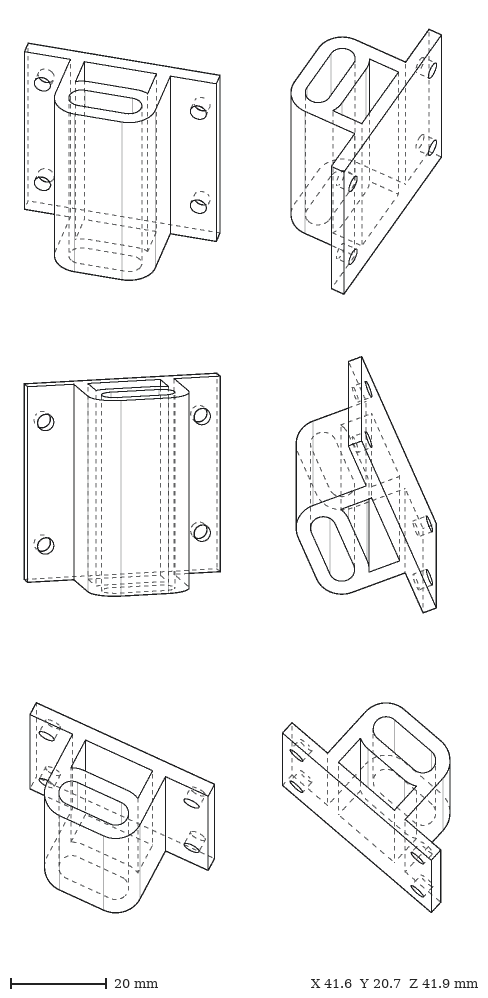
import cadquery as cq

plate_width = 41.6
height = 41.9
wall = 3.0
depth = 20.7

slot_radius = 2.7
arc_spacing = 10.25
tube_radius = slot_radius + wall
tube_width = arc_spacing + 2 * tube_radius
slot_width = arc_spacing + 2 * slot_radius
tube_y = tube_radius - depth

hole_diameter = 3.5
hole_x = 16.9
left_hole_top_z = 13.1
left_hole_bottom_z = -13.37
right_hole_z = 12.5
hole_centres = [
    (-hole_x, left_hole_top_z),
    (-hole_x, left_hole_bottom_z),
    (hole_x, right_hole_z),
    (hole_x, -right_hole_z),
]


def block(width, y_front, y_back):
    """Full-height block centred on X and Z."""
    return (
        cq.Workplane("XY")
        .box(width, y_back - y_front, height)
        .translate((0, (y_front + y_back) / 2, 0))
    )


def stadium(width, radius):
    """Full-height stadium prism centred on the tube axis."""
    return (
        cq.Workplane("XY", origin=(0, tube_y, -height / 2))
        .slot2D(width, 2 * radius)
        .extrude(height)
    )


plate = block(plate_width, -wall, 0)
tube = stadium(tube_width, tube_radius)

side_walls = block(tube_width, tube_y, -wall).cut(block(slot_width, tube_y, -wall))

body = plate.union(side_walls).union(tube).cut(stadium(slot_width, slot_radius))

screw_holes = (
    cq.Workplane("XZ")
    .pushPoints(hole_centres)
    .circle(hole_diameter / 2)
    .extrude(wall)
)

result = body.cut(screw_holes)